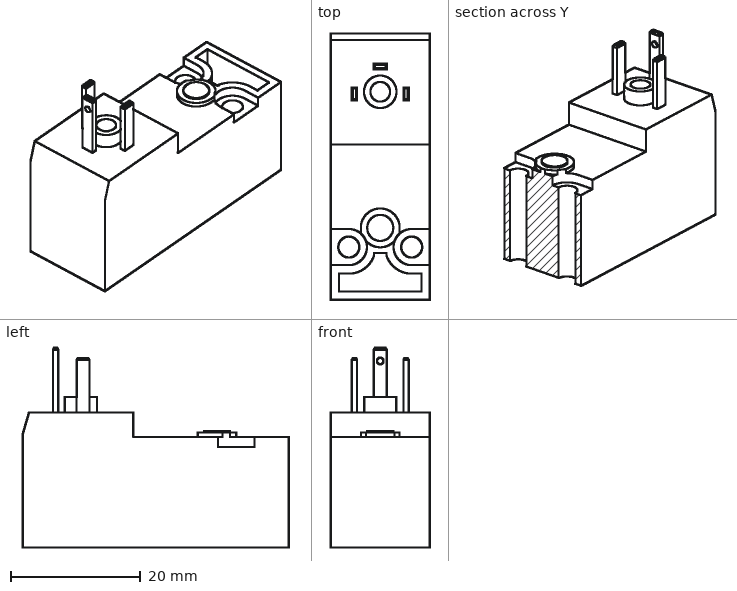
import cadquery as cq
import math

width = 15.3
length = 41.0
deck_height = 17.05
block_height = 20.83
block_front_y = 23.95
back_bevel_run = 1.0
back_bevel_drop = 3.35

ear_x = 4.85
ear_y = 8.1
ear_radius = 2.8
ear_depth = 1.55
mount_hole_radius = 1.6

wall = 1.3
pocket_depth = 8.2
pocket_neck_half_width = 0.95
pocket_back_y = 7.18
pocket_arc_radius = ear_radius + wall

button_y = 11.05
button_radius = 3.0
button_height = 0.7
button_skirt_length = 1.15
button_cap_radius = 2.0
button_cap_height = 0.2

boss_y = 32.02
boss_radius = 2.5
boss_bore_radius = 1.5
boss_height = 2.38

blade_width = 2.0
blade_thickness = 0.85
blade_tip_inset = 0.2
blade_tip_height = 0.33
side_blade_x = 3.98
side_blade_y = 31.7
side_blade_height = 8.35
centre_blade_y = 35.9
centre_blade_height = 9.95
blade_hole_radius = 0.5
blade_hole_below_tip = 2.05


def cylinder(x, y, z, radius, height):
    return cq.Workplane("XY", origin=(x, y, z)).circle(radius).extrude(height)


def make_body():
    profile = [
        (0, 0),
        (length, 0),
        (length, block_height - back_bevel_drop),
        (length - back_bevel_run, block_height),
        (block_front_y, block_height),
        (block_front_y, deck_height),
        (0, deck_height),
    ]
    return cq.Workplane("YZ").polyline(profile).close().extrude(width / 2, both=True)


def make_button():
    """Round button whose sides run straight forward to meet the ear recesses."""
    disc = cylinder(0, button_y, deck_height, button_radius, button_height)
    skirt = cq.Workplane("XY", origin=(0, button_y - button_skirt_length / 2, deck_height)).box(
        2 * button_radius, button_skirt_length, button_height, centered=(True, True, False)
    )
    cap = cylinder(0, button_y, deck_height + button_height, button_cap_radius, button_cap_height)
    return disc.union(skirt).union(cap)


def make_ear_cut(side):
    """Round-ended recess open to one side face, with its mounting hole."""
    floor_z = deck_height - ear_depth
    cut_height = ear_depth + button_height + button_cap_height
    edge_x = width / 2
    recess = (
        cq.Workplane("XY", origin=(0, 0, floor_z))
        .moveTo(side * edge_x, ear_y - ear_radius)
        .lineTo(side * ear_x, ear_y - ear_radius)
        .threePointArc((side * (ear_x - ear_radius), ear_y), (side * ear_x, ear_y + ear_radius))
        .lineTo(side * edge_x, ear_y + ear_radius)
        .close()
        .extrude(cut_height)
    )
    return recess.union(cylinder(side * ear_x, ear_y, 0, mount_hole_radius, deck_height))


def make_pocket():
    """Pocket whose curved sides keep an even wall around the ear recesses."""
    half_width = width / 2 - wall
    shoulder_y = ear_y - pocket_arc_radius
    neck_reach = ear_x - pocket_neck_half_width
    neck_y = ear_y - math.sqrt(pocket_arc_radius**2 - neck_reach**2)
    mid_angle = math.asin(neck_reach / pocket_arc_radius) / 2
    mid_x = ear_x - pocket_arc_radius * math.sin(mid_angle)
    mid_y = ear_y - pocket_arc_radius * math.cos(mid_angle)
    return (
        cq.Workplane("XY", origin=(0, 0, deck_height - pocket_depth))
        .moveTo(-half_width, wall)
        .lineTo(half_width, wall)
        .lineTo(half_width, shoulder_y)
        .lineTo(ear_x, shoulder_y)
        .threePointArc((mid_x, mid_y), (pocket_neck_half_width, neck_y))
        .lineTo(pocket_neck_half_width, pocket_back_y)
        .lineTo(-pocket_neck_half_width, pocket_back_y)
        .lineTo(-pocket_neck_half_width, neck_y)
        .threePointArc((-mid_x, mid_y), (-ear_x, shoulder_y))
        .lineTo(-half_width, shoulder_y)
        .close()
        .extrude(pocket_depth)
    )


def make_blade(x, y, size_x, size_y, height):
    """Upright blade on the block with a tip bevelled on all four sides."""
    shank_height = height - blade_tip_height
    shank = cq.Workplane("XY", origin=(x, y, block_height)).rect(size_x, size_y).extrude(shank_height)
    tip = (
        cq.Workplane("XY", origin=(x, y, block_height + shank_height))
        .rect(size_x, size_y)
        .workplane(offset=blade_tip_height)
        .rect(size_x - 2 * blade_tip_inset, size_y - 2 * blade_tip_inset)
        .loft(ruled=True)
    )
    return shank.union(tip)


def make_centre_blade():
    blade = make_blade(0, centre_blade_y, blade_width, blade_thickness, centre_blade_height)
    hole_z = block_height + centre_blade_height - blade_hole_below_tip
    hole = (
        cq.Workplane("XZ", origin=(0, centre_blade_y, hole_z))
        .circle(blade_hole_radius)
        .extrude(blade_thickness, both=True)
    )
    return blade.cut(hole)


boss = cylinder(0, boss_y, block_height, boss_radius, boss_height)
boss_bore = cylinder(0, boss_y, block_height, boss_bore_radius, boss_height)

result = make_body().union(make_button()).union(boss.cut(boss_bore))
result = result.cut(make_pocket()).union(make_centre_blade())
for side in (-1, 1):
    result = result.cut(make_ear_cut(side))
    side_blade = make_blade(
        side * side_blade_x, side_blade_y, blade_thickness, blade_width, side_blade_height
    )
    result = result.union(side_blade)